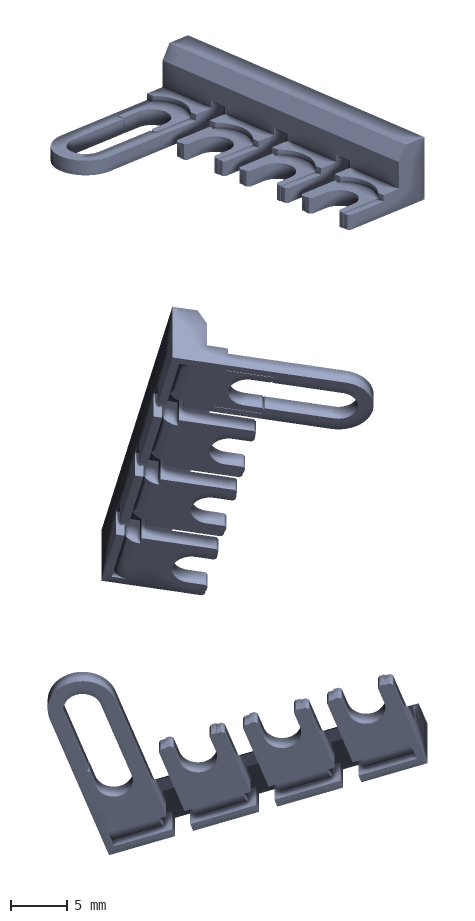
import cadquery as cq


length = 29.9
height = 6.1
bar_depth = 3.15
top_depth = 2.3
slope_height = 1.45

tab_count = 4
tab_width = 6.2
tab_pitch = (length - tab_width) / (tab_count - 1)
tab_thickness = 1.45
step_height = 2.05
step_reach = 5.05
tab_reach = 9.3
gap_height = 2.78
tip_chamfer = 0.2

lug_reach = 18.8
lug_radius = tab_width / 2
lug_end_y = lug_radius - lug_reach
lug_clearance = 0.045

fork_width = 4.78
sheet_thickness = 1.52
bend_radius = 1.5
fork_reach = 9.35
slot_width = 3.4
slot_y = -7.48

spine_back = 0.78
spine_front = spine_back + sheet_thickness
spine_top = 4.87

mouth_half_width = fork_width / 2 + lug_clearance
relief_half_width = 2.33
relief_reach = 4.07
relief_side_reach = 5.0

tab_centers = [lug_radius + i * tab_pitch for i in range(tab_count)]
spine_start = tab_centers[0] - fork_width / 2
spine_end = tab_centers[-1] + fork_width / 2


def block(x_min, x_max, y_min, y_max, z_min, z_max):
    """Axis-aligned box between the given limits."""
    size = (x_max - x_min, y_max - y_min, z_max - z_min)
    return cq.Workplane("XY").box(*size, centered=False).translate((x_min, y_min, z_min))


def tab_block(center, width, y_min, y_max, z_min, z_max):
    """Box centred on a tab in X."""
    return block(center - width / 2, center + width / 2, y_min, y_max, z_min, z_max)


def rounded_slot(center, y_front, y_back, thickness):
    """Round-ended slot between two end-arc centres, rising from the underside."""
    return (
        cq.Workplane("XY")
        .center(center, (y_front + y_back) / 2)
        .slot2D(y_back - y_front + slot_width, slot_width, 90)
        .extrude(thickness)
    )



def fork(center):
    """One U-shaped fork with its neck and the riser that reaches the spine, round outside the bend."""
    plate = tab_block(center, fork_width, -fork_reach, -spine_back, 0, sheet_thickness)
    plate = plate.cut(rounded_slot(center, slot_y - fork_reach, slot_y, sheet_thickness))
    inner_corners = cq.selectors.BoxSelector(
        (center - slot_width / 2 - tip_chamfer, -fork_reach - tip_chamfer, -tip_chamfer),
        (center + slot_width / 2 + tip_chamfer, -fork_reach + tip_chamfer, sheet_thickness + tip_chamfer),
    )
    plate = plate.edges("|Z").edges(inner_corners).chamfer(tip_chamfer)
    riser = tab_block(center, fork_width, -spine_front, -spine_back, 0, spine_top)
    return plate.union(riser).edges("|X and >Y and <Z").fillet(bend_radius)


def make_busbar():
    """Four forks joined by the spine into one comb."""
    busbar = block(spine_start, spine_end, -spine_front, -spine_back, gap_height, spine_top)
    for center in tab_centers:
        busbar = busbar.union(fork(center))
    return busbar



def bar():
    """Long bar with a sloped front top edge and the step along its foot."""
    return (
        cq.Workplane("YZ")
        .moveTo(0, 0)
        .lineTo(0, height)
        .lineTo(-top_depth, height)
        .lineTo(-bar_depth, height - slope_height)
        .lineTo(-bar_depth, step_height)
        .lineTo(-step_reach, step_height)
        .lineTo(-step_reach, 0)
        .close()
        .extrude(length)
    )


def gap(left_center):
    """Opening between a tab and its right-hand neighbour."""
    x_min = left_center + tab_width / 2
    x_max = left_center + tab_pitch - tab_width / 2
    return block(x_min, x_max, -step_reach, 0, 0, gap_height)


def short_tab(center):
    """Tab plate with chamfered outer corners at its tip."""
    plate = tab_block(center, tab_width, -tab_reach, -bar_depth, 0, tab_thickness)
    return plate.edges("|Z and <Y").chamfer(tip_chamfer)


def lug(center):
    """Long round-ended plate of the first tab."""
    plate = tab_block(center, tab_width, lug_end_y, -bar_depth, 0, tab_thickness)
    end = cq.Workplane("XY").center(center, lug_end_y).circle(lug_radius).extrude(tab_thickness)
    return plate.union(end)


def spine_groove():
    """Groove for the spine and the fork roots, open at the underside and closed at both ends."""
    return block(spine_start, spine_end, -spine_front, -spine_back, 0, spine_top)


def fork_pocket(center, clearance):
    """Through opening for a fork, in front of the step, with the given clearance at each side."""
    return tab_block(center, fork_width + 2 * clearance, -fork_reach, -step_reach, 0, sheet_thickness)


def relief(center):
    """Curved recess in the step, above the root of a fork."""
    return (
        cq.Workplane("XY", origin=(center, 0, sheet_thickness))
        .moveTo(-mouth_half_width, -step_reach)
        .lineTo(-relief_half_width, -relief_side_reach)
        .threePointArc((0, -relief_reach), (relief_half_width, -relief_side_reach))
        .lineTo(mouth_half_width, -step_reach)
        .close()
        .extrude(step_height - sheet_thickness)
    )


def make_housing(busbar):
    """Bar, lug and tabs with openings for the busbar moulded into them."""
    housing = bar()
    for center in tab_centers[:-1]:
        housing = housing.cut(gap(center))
    housing = housing.union(lug(tab_centers[0]))
    for center in tab_centers[1:]:
        housing = housing.union(short_tab(center))

    housing = housing.cut(rounded_slot(tab_centers[0], lug_end_y, slot_y, tab_thickness))
    housing = housing.cut(fork_pocket(tab_centers[0], lug_clearance))
    for center in tab_centers[1:]:
        housing = housing.cut(fork_pocket(center, 0))
    for center in tab_centers:
        housing = housing.cut(relief(center))
    housing = housing.cut(spine_groove())
    return housing.cut(busbar)


busbar = make_busbar()
housing = make_housing(busbar)

result = cq.Compound.makeCompound([housing.val(), busbar.val()])